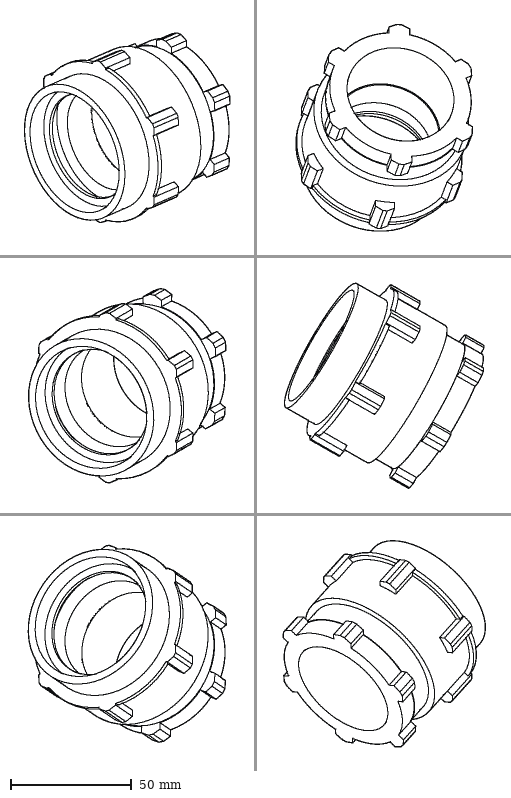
import cadquery as cq


SOCKET_END = 7.8
LIP_END = 9.5
NUT_START = 14.05
TAIL_END = 17.55
SEAL_END = 31.7
NUT_END = 41.1
COLLAR_START = 51.4
TOTAL_LENGTH = 60.3

PIPE_RADIUS = 29.6
SEAL_BORE_RADIUS = 22.05

SOCKET_MOUTH_RADIUS = 26.3
SOCKET_ROOT_RADIUS = 26.05
LIP_RADIUS = 22.7
FLARE_RADIUS = 28.3

NUT_RADIUS = 32.7
FLANGE_DIAMETER = 69.8
FLANGE_RADIUS = FLANGE_DIAMETER / 2
FLANGE_THICKNESS = 2.0
NUT_LUG_LENGTH = 14.05
NUT_LUG_TIP_RADIUS = 37.0
NUT_LUG_SHOULDER = 35.3
NUT_LUG_WIDTH = 8.0
NUT_LUG_TIP_WIDTH = 1.8

REAR_BORE_RADIUS = 22.6
COLLAR_RADIUS = 29.9
COLLAR_LUG_TIP_RADIUS = 34.05
COLLAR_LUG_SHOULDER = 32.4
COLLAR_LUG_WIDTH = 8.7
COLLAR_LUG_TIP_WIDTH = 2.2
REAR_TURN = 0.8

LUG_COUNT = 6


def revolve_about_y(points):
    """Solid of revolution about Y from a closed (y, radius) outline."""
    return cq.Workplane("YZ").polyline(points).close().revolve(360, (0, 0, 0), (1, 0, 0))


def ring(outer_radius, inner_radius, start, end):
    """Plain tube about Y between two stations."""
    return revolve_about_y([
        (start, inner_radius),
        (start, outer_radius),
        (end, outer_radius),
        (end, inner_radius),
    ])


def add_lugs(body, foot, shoulder, tip, width, tip_width, start, end):
    """Join bevelled gripping lugs, the first one pointing along +Z, round a body."""
    outline = [
        (-width / 2, foot),
        (-width / 2, shoulder),
        (-tip_width / 2, tip),
        (tip_width / 2, tip),
        (width / 2, shoulder),
        (width / 2, foot),
    ]
    lug = cq.Workplane("XZ", origin=(0, start, 0)).polyline(outline).close().extrude(start - end)
    for index in range(LUG_COUNT):
        angle = index * 360 / LUG_COUNT
        body = body.union(lug.rotate((0, 0, 0), (0, 1, 0), angle))
    return body


def make_tailpiece():
    """Pipe with a tapered socket, a narrow lip and a mouth flared towards the seal."""
    return revolve_about_y([
        (0, SOCKET_MOUTH_RADIUS),
        (0, PIPE_RADIUS),
        (TAIL_END, PIPE_RADIUS),
        (TAIL_END, FLARE_RADIUS),
        (LIP_END, LIP_RADIUS),
        (SOCKET_END, LIP_RADIUS),
        (SOCKET_END, SOCKET_ROOT_RADIUS),
    ])


def make_seal():
    """Ring clamped between the tailpiece and the rear end."""
    return ring(PIPE_RADIUS, SEAL_BORE_RADIUS, TAIL_END, SEAL_END)


def make_nut():
    """Sleeve with a thin flange at its front and six lugs."""
    sleeve = ring(NUT_RADIUS, PIPE_RADIUS, NUT_START, NUT_END)
    flange = ring(FLANGE_RADIUS, PIPE_RADIUS, NUT_START, NUT_START + FLANGE_THICKNESS)
    return add_lugs(
        sleeve.union(flange),
        (NUT_RADIUS + PIPE_RADIUS) / 2,
        NUT_LUG_SHOULDER,
        NUT_LUG_TIP_RADIUS,
        NUT_LUG_WIDTH,
        NUT_LUG_TIP_WIDTH,
        NUT_START,
        NUT_START + NUT_LUG_LENGTH,
    )


def make_rear_end():
    """Pipe with a lugged collar at its far end."""
    pipe = ring(PIPE_RADIUS, REAR_BORE_RADIUS, SEAL_END, COLLAR_START)
    collar = ring(COLLAR_RADIUS, REAR_BORE_RADIUS, COLLAR_START, TOTAL_LENGTH)
    body = add_lugs(
        pipe.union(collar),
        (PIPE_RADIUS + REAR_BORE_RADIUS) / 2,
        COLLAR_LUG_SHOULDER,
        COLLAR_LUG_TIP_RADIUS,
        COLLAR_LUG_WIDTH,
        COLLAR_LUG_TIP_WIDTH,
        COLLAR_START,
        TOTAL_LENGTH,
    )
    return body.rotate((0, 0, 0), (0, 1, 0), REAR_TURN)


tailpiece = make_tailpiece()
seal = make_seal()
nut = make_nut()
rear_end = make_rear_end()

result = cq.Compound.makeCompound([tailpiece.val(), seal.val(), nut.val(), rear_end.val()])